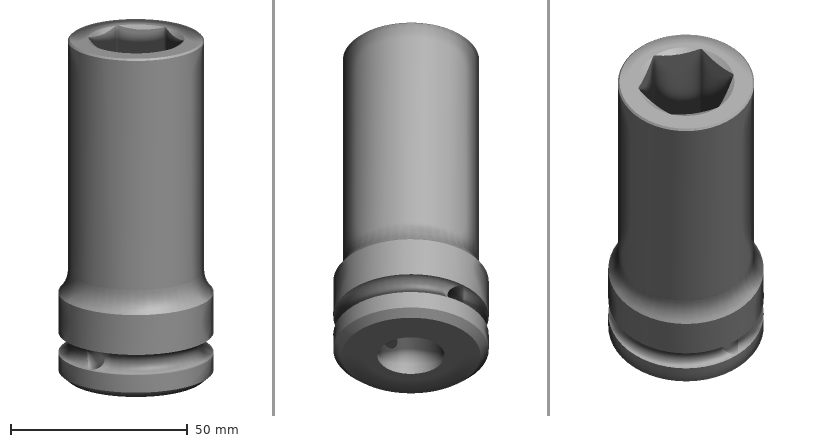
import cadquery as cq
import math

height = 100.0
collar_radius = 22.0
barrel_radius = 19.3
base_chamfer_width = 2.3
base_chamfer_height = 2.0
rim_chamfer = 0.5

shoulder_bottom = 25.0
shoulder_radius = 9.4

groove_center_z = 10.2
groove_radius = 3.0

hex_across_flats = 24.0
hex_corner_diameter = 27.4
hex_depth = 50.0
lead_in_angle = 30.0
bore_diameter = 19.1


def make_body():
    """Revolve the outer half profile about Z."""
    step = collar_radius - barrel_radius
    shoulder_height = math.sqrt(shoulder_radius**2 - (shoulder_radius - step)**2)
    shoulder_top = shoulder_bottom + shoulder_height
    arc_center_x = barrel_radius + shoulder_radius
    mid_angle = math.asin(shoulder_height / shoulder_radius) / 2
    shoulder_middle = (
        arc_center_x - shoulder_radius * math.cos(mid_angle),
        shoulder_top - shoulder_radius * math.sin(mid_angle),
    )
    profile = (
        cq.Workplane("XZ")
        .lineTo(collar_radius - base_chamfer_width, 0)
        .lineTo(collar_radius, base_chamfer_height)
        .lineTo(collar_radius, groove_center_z - groove_radius)
        .threePointArc(
            (collar_radius - groove_radius, groove_center_z),
            (collar_radius, groove_center_z + groove_radius),
        )
        .lineTo(collar_radius, shoulder_bottom)
        .threePointArc(shoulder_middle, (barrel_radius, shoulder_top))
        .lineTo(barrel_radius, height - rim_chamfer)
        .lineTo(barrel_radius - rim_chamfer, height)
        .lineTo(0, height)
        .close()
    )
    return profile.revolve(360, (0, 0, 0), (0, 1, 0))


def make_hex_socket():
    """Hexagon with flats facing +X and -X, its corners trimmed by a cylinder."""
    floor = cq.Workplane("XY").workplane(offset=height - hex_depth)
    full_diameter = hex_across_flats / math.cos(math.pi / 6)
    hexagon = floor.polygon(6, full_diameter).extrude(hex_depth)
    hexagon = hexagon.rotate((0, 0, 0), (0, 0, 1), 30)
    return hexagon.intersect(floor.circle(hex_corner_diameter / 2).extrude(hex_depth))


def make_lead_in():
    """Cone that eases the mouth of the hexagon."""
    mouth_radius = hex_corner_diameter / 2
    cone_depth = mouth_radius * math.tan(math.radians(lead_in_angle))
    return (
        cq.Workplane("XZ", origin=(0, 0, height))
        .lineTo(mouth_radius, 0)
        .lineTo(0, -cone_depth)
        .close()
        .revolve(360, (0, 0, 0), (0, 1, 0))
    )


bore = cq.Workplane("XY").circle(bore_diameter / 2).extrude(height)
pin_hole = (
    cq.Workplane("XZ", origin=(0, 0, groove_center_z))
    .circle(groove_radius)
    .extrude(collar_radius, both=True)
)

result = make_body().cut(make_hex_socket()).cut(make_lead_in()).cut(bore).cut(pin_hole)